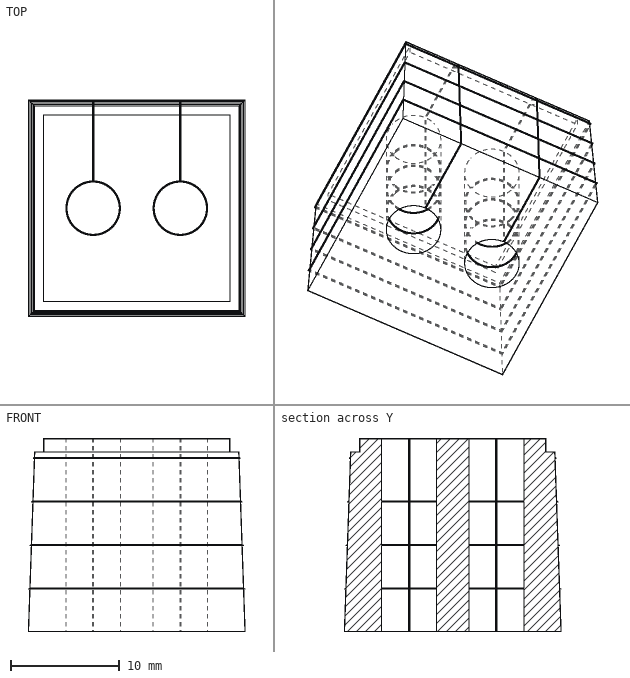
import cadquery as cq
import math

base_width = 19.9
body_height = 16.5
draft_angle = 2.0

step_width = 17.1
total_height = 17.7

lip_height = 0.1
lip_projection = 0.1
lip_spacing = 4.0
outer_lip_count = 4
hole_lip_count = 3

hole_diameter = 5.0
hole_spacing = 8.0
slit_width = 0.1


def lip_tops(count):
    """Heights at which the lips run out into the wall, counted from the base."""
    return [lip_spacing * number for number in range(1, count + 1)]


def body_width_at(height):
    """Width of the drafted body at a height above its base."""
    return base_width - 2 * height * math.tan(math.radians(draft_angle))


def make_frustum(bottom, bottom_width, top, top_width):
    """Square frustum between two heights."""
    return (
        cq.Workplane("XY")
        .workplane(offset=bottom)
        .rect(bottom_width, bottom_width)
        .workplane(offset=top - bottom)
        .rect(top_width, top_width)
        .loft(ruled=True)
    )


def make_body():
    return make_frustum(0, base_width, body_height, body_width_at(body_height))


def make_step():
    return make_frustum(body_height, step_width, total_height, step_width)


def make_outer_lip(top):
    """Lip around the body that meets the drafted wall at the given height."""
    underside = top - lip_height
    underside_width = body_width_at(underside) + 2 * lip_projection
    return make_frustum(underside, underside_width, top, body_width_at(top))


def make_hole(x):
    """Full-height hole, revolved from a half profile notched by the lips inside it."""
    radius = hole_diameter / 2
    profile = cq.Workplane("XZ").lineTo(radius, 0)
    for top in lip_tops(hole_lip_count):
        underside = top - lip_height
        profile = (
            profile.lineTo(radius, underside)
            .lineTo(radius - lip_projection, underside)
            .lineTo(radius, top)
        )
    profile = profile.lineTo(radius, total_height).lineTo(0, total_height).close()
    return profile.revolve(360, (0, 0, 0), (0, 1, 0)).translate((x, 0, 0))


def make_slit(x):
    """Full-height slit from the hole axis out past the +Y face."""
    return (
        cq.Workplane("XY")
        .box(slit_width, base_width, total_height, centered=(True, False, False))
        .translate((x, 0, 0))
    )


result = make_body().union(make_step())

for lip_top in lip_tops(outer_lip_count):
    result = result.union(make_outer_lip(lip_top))

for hole_x in (-hole_spacing / 2, hole_spacing / 2):
    result = result.cut(make_hole(hole_x))
    result = result.cut(make_slit(hole_x))